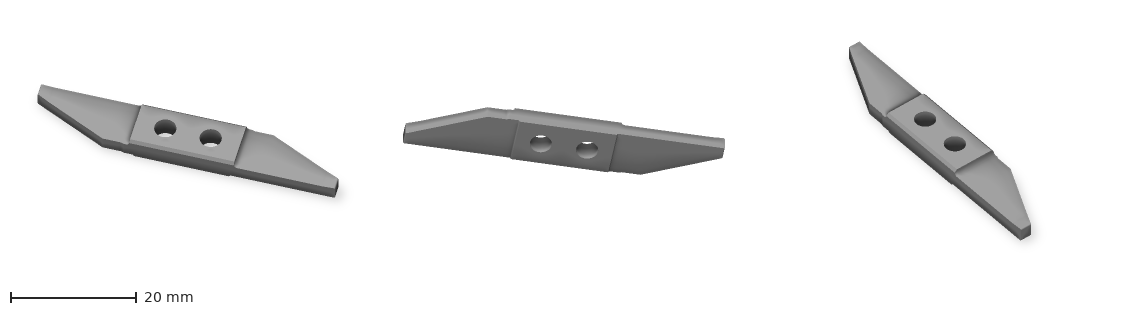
import cadquery as cq

length = 50.5
width = 8.0
height = 3.6

block_length = 17.15
block_chamfer = 0.45
foot_length = 15.65
foot_slope_run = 0.2
foot_height = 0.3

wing_top = 2.65
tip_top = 2.8
tip_length = 2.1
tip_width = 2.05
tip_round = 0.2
root_radius = 0.55

taper_start = 13.05
setback = 0.15
setback_start = 9.5
setback_end = 10.0

hole_diameter = 3.55
hole_spacing = 7.45

half_length = length / 2
half_width = width / 2
half_block = block_length / 2
half_foot = foot_length / 2


def side_profile():
    """Long side outline extruded across the full width."""
    wall_bottom = wing_top + root_radius
    root_end = half_block + root_radius
    tip_start = half_length - tip_length
    right_half = (
        cq.Workplane("XZ")
        .moveTo(0, 0)
        .lineTo(half_foot, 0)
        .lineTo(half_foot + foot_slope_run, foot_height)
        .lineTo(half_length, foot_height)
        .lineTo(half_length, tip_top)
        .lineTo(tip_start, wing_top)
        .lineTo(root_end, wing_top)
        .radiusArc((half_block, wall_bottom), root_radius)
        .lineTo(half_block, height)
        .lineTo(0, height)
        .close()
        .extrude(half_width, both=True)
    )
    right_half = right_half.faces(">X").edges("|Y").fillet(tip_round)
    return right_half.union(right_half.mirror("YZ"))


def plan_outline():
    """Plan shape with two opposite tapers, unchanged by a half turn about Z."""
    upper_edge = [
        (-half_length, half_width),
        (setback_start, half_width),
        (setback_end, half_width - setback),
        (taper_start, half_width - setback),
        (half_length, tip_width - half_width),
    ]
    lower_edge = [(-x, -y) for x, y in upper_edge]
    return cq.Workplane("XY").polyline(upper_edge + lower_edge).close().extrude(height)


def chamfer_block(body):
    """Bevel the two long top edges of the centre block."""
    return body.faces(">Z").edges("|X").chamfer(block_chamfer)


def drill_holes(body):
    """Cut the two through holes on the long centre line."""
    hole_centres = [(-hole_spacing / 2, 0), (hole_spacing / 2, 0)]
    holes = cq.Workplane("XY").pushPoints(hole_centres).circle(hole_diameter / 2).extrude(height)
    return body.cut(holes)


blank = side_profile().intersect(plan_outline())
result = drill_holes(chamfer_block(blank.clean()))